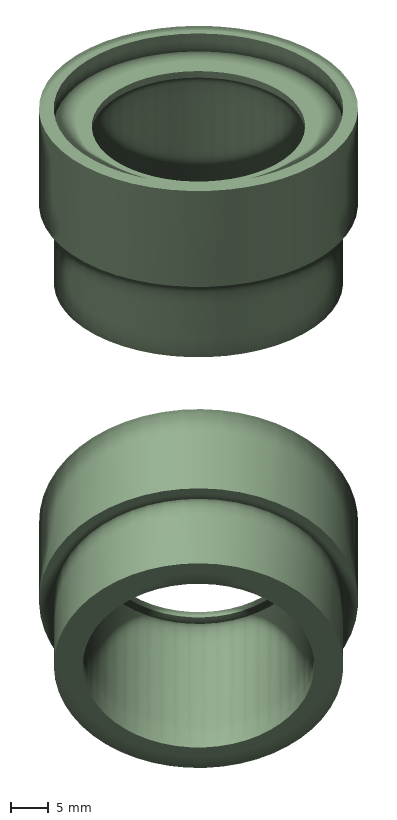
import cadquery as cq

head_diameter = 42.0
head_height = 14.75
spigot_diameter = 38.1
spigot_height = 12.0
total_height = spigot_height + head_height

socket_diameter = spigot_diameter
socket_depth = 2.75
socket_floor = total_height - socket_depth

bore_diameter = 30.48

ring_diameter = bore_diameter
ring_hole_diameter = 28.07
ring_thickness = 1.0
ring_bottom = socket_floor - ring_thickness


def cylinder(diameter, bottom, top):
    """Upright cylinder on the Z axis between two heights."""
    return cq.Workplane("XY").workplane(offset=bottom).circle(diameter / 2).extrude(top - bottom)


def make_housing():
    """Stepped sleeve with a top socket and a through bore."""
    spigot = cylinder(spigot_diameter, 0, spigot_height)
    head = cylinder(head_diameter, spigot_height, total_height)
    socket = cylinder(socket_diameter, socket_floor, total_height)
    bore = cylinder(bore_diameter, 0, total_height)
    return spigot.union(head).cut(socket).cut(bore)


def make_ring():
    """Flat ring that narrows the top end of the bore."""
    outside = cylinder(ring_diameter, ring_bottom, socket_floor)
    hole = cylinder(ring_hole_diameter, ring_bottom, socket_floor)
    return outside.cut(hole)


housing = make_housing()
ring = make_ring()

result = cq.Compound.makeCompound([housing.val(), ring.val()])